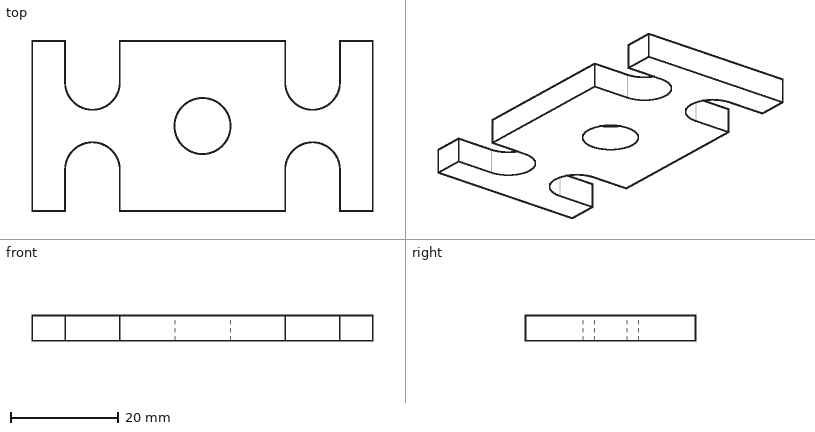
import cadquery as cq

length = 63.5
width = 31.75
thickness = 4.75

hole_diameter = 10.4

slot_width = 10.15
slot_depth = 12.8
slot_offset = 20.5


def slot_cutter(x_side, y_side):
    """Slot running in from one long edge, at one end of the plate."""
    radius = slot_width / 2
    x_center = x_side * slot_offset
    y_edge = y_side * width / 2
    y_bottom = y_side * (width / 2 - slot_depth)
    y_arc_start = y_bottom + y_side * radius
    return (
        cq.Workplane("XY")
        .moveTo(x_center - radius, y_edge)
        .lineTo(x_center - radius, y_arc_start)
        .threePointArc((x_center, y_bottom), (x_center + radius, y_arc_start))
        .lineTo(x_center + radius, y_edge)
        .close()
        .extrude(thickness)
    )


plate = cq.Workplane("XY").box(length, width, thickness, centered=(True, True, False))
plate = plate.faces(">Z").workplane().hole(hole_diameter)

for x_side in (-1, 1):
    for y_side in (-1, 1):
        plate = plate.cut(slot_cutter(x_side, y_side))

result = plate